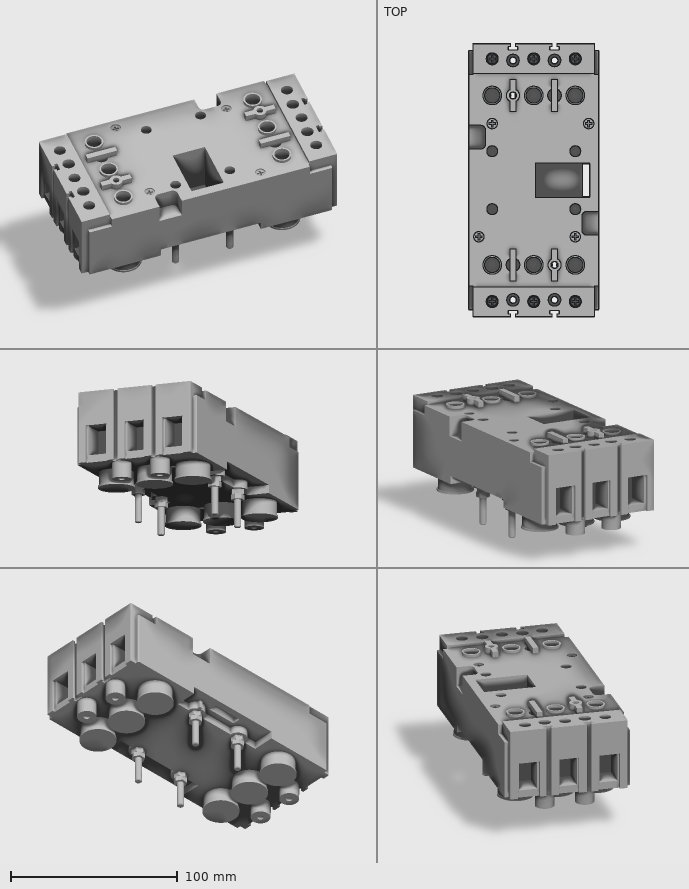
import cadquery as cq


LENGTH = 164.0
BODY_WIDTH = 78.0
BODY_LENGTH = 155.8
BODY_HEIGHT = 41.7
BODY_CORNER = 0.7
SHOULDER_Y = 63.5
SHOULDER_Z = 35.6

END_WIDTH = 73.1
END_HEIGHT = 43.6
END_START_Y = 64.0
END_CORNER = 0.5

POLE_PITCH = 25.0
POLES = (-POLE_PITCH, 0.0, POLE_PITCH)
SIDE_POLES = (-POLE_PITCH, POLE_PITCH)
PARTITIONS = (-POLE_PITCH / 2, POLE_PITCH / 2)

SLOT_NECK_WIDTH = 3.0
SLOT_HEAD_WIDTH = 5.5
SLOT_HEAD_START = 1.8
SLOT_DEPTH = 3.8

WINDOW_TOP = 22.6
SILL_HEIGHT = 4.6
SILL_SETBACK = 1.8
CAVITY_DEPTH = 16.4
SIDE_WINDOW_WIDTH = 13.5
SIDE_CAVITY_WIDTH = 11.2
MIDDLE_WINDOW_WIDTH = 12.6
MIDDLE_CAVITY_WIDTH = 10.7

TERMINAL_Y = 72.8
TERMINAL_HOLE_RADIUS = 3.6
TERMINAL_HOLE_DEPTH = 13.1
TERMINAL_SCREW_RADIUS = 3.0
TERMINAL_SCREW_HEIGHT = 3.3

CROSS_SPAN = 4.0
CROSS_WIDTH = 1.1
CROSS_DEPTH = 1.0

FIXING_Y = 71.8
FIXING_RADIUS = 2.0
FIXING_COUNTERBORE_RADIUS = 3.8
FIXING_COUNTERBORE_DEPTH = 13.1
FOOT_RADIUS = 5.9
FOOT_HEIGHT = 10.0

CONTACT_Y = 50.8
SOCKET_RADIUS = 5.5
SOCKET_BORE_RADIUS = 4.6
SOCKET_BORE_DEPTH = 13.1
PLUG_RADIUS = 10.5
PLUG_HEIGHT = 9.7
PLUG_RIM_RADIUS = 11.2
PLUG_RIM_THICKNESS = 1.1

BAR_TOP = 45.8
BAR_WIDTH = 3.5
BAR_LENGTH = 19.0
BAR_BOSS_RADIUS = 4.0
BAR_HOLE_RADIUS = 2.0
BAR_WELL_RADIUS = 4.1
BAR_WELL_DEPTH = 13.1

COVER_SCREW_Y = 34.0
COVER_SCREW_OUTER_X = 33.0
COVER_SCREW_RADIUS = 3.1
COVER_SCREW_SINK = 0.8

POST_Y = 17.4
POST_POINTS = [(x, y) for x in SIDE_POLES for y in (-POST_Y, POST_Y)]
POST_HOLE_RADIUS = 3.3
POST_HOLE_DEPTH = 13.1
POST_RADIUS = 2.1
POST_TIP_Z = -23.3
POST_CHAMFER = 0.5
POST_BOSS_RADIUS = 5.9
NUT_THICKNESS = 3.1
UPPER_NUT_ANGLE = 30
LOWER_NUT_ANGLE = 0
NUT_CORNER_DIAMETER = 8.2

RECESS_LENGTH = 64.0
RECESS_HEIGHT = 5.1
RECESS_RIB_X = 32.0
RECESS_RIB_Y_MIN = 18.5
RECESS_RIB_Y_MAX = 20.5

NOTCH_DEPTH = 10.2
NOTCH_Y_MIN = 18.7
NOTCH_Y_MAX = 33.0
NOTCH_FLOOR = 29.5
NOTCH_RADIUS = 3.1

POCKET_X_MIN = 1.1
POCKET_X_MAX = 33.5
POCKET_WIDTH = 20.7
POCKET_FLOOR = 9.8
PASSAGE_X_MIN = 29.4
PASSAGE_X_MAX = 34.6
PASSAGE_TOP = 28.5
PASSAGE_WIDTH = 19.7


def box(x_min, x_max, y_min, y_max, z_min, z_max):
    """Box between two opposite corners."""
    size = (x_max - x_min, y_max - y_min, z_max - z_min)
    return cq.Workplane("XY").box(*size, centered=False).translate((x_min, y_min, z_min))


def blocks(points, width, length, z_min, z_max):
    """Equal boxes centred on the given points."""
    plane = cq.Workplane("XY", origin=(0, 0, z_min))
    return plane.pushPoints(points).rect(width, length).extrude(z_max - z_min)


def block(width, length, z_min, z_max):
    """Box centred on the Z axis."""
    return blocks([(0, 0)], width, length, z_min, z_max)


def rods(points, radius, z_min, z_max):
    """Equal upright cylinders centred on the given points."""
    plane = cq.Workplane("XY", origin=(0, 0, z_min))
    return plane.pushPoints(points).circle(radius).extrude(z_max - z_min)


def hexagons(points, angle, z_min, z_max):
    """Equal nuts centred on the given points and turned by an angle in degrees."""
    plane = cq.Workplane("XY", origin=(0, 0, z_min)).pushPoints(points)
    outline = cq.Sketch().regularPolygon(NUT_CORNER_DIAMETER / 2, 6, angle=angle)
    return plane.placeSketch(outline).extrude(z_max - z_min)


def at_both_ends(x_places, y):
    """Points at every given X, at +y and at -y."""
    return [(x, end * y) for end in (-1, 1) for x in x_places]


def end_blocks(x_places, width, inset_min, inset_max, z_min, z_max):
    """Boxes measured inwards from both end faces."""
    points = at_both_ends(x_places, LENGTH / 2 - (inset_min + inset_max) / 2)
    return blocks(points, width, inset_max - inset_min, z_min, z_max)


def cut_crosses(part, points, head_top):
    """Cross recesses in screw heads."""
    floor = head_top - CROSS_DEPTH
    part = part.cut(blocks(points, CROSS_SPAN, CROSS_WIDTH, floor, head_top))
    return part.cut(blocks(points, CROSS_WIDTH, CROSS_SPAN, floor, head_top))


def half_turn(shape):
    """Copy turned by 180 degrees about Z."""
    return shape.rotate((0, 0, 0), (0, 0, 1), 180)


def make_housing():
    """Wide body with lowered end shoulders and two terminal blocks."""
    body = block(BODY_WIDTH, BODY_LENGTH, 0, SHOULDER_Z).edges("|Z").fillet(BODY_CORNER)
    body = body.union(block(BODY_WIDTH, 2 * SHOULDER_Y, 0, BODY_HEIGHT))
    ends = block(END_WIDTH, LENGTH, 0, END_HEIGHT).edges("|Z").fillet(END_CORNER)
    ends = ends.cut(block(END_WIDTH, 2 * END_START_Y, BODY_HEIGHT, END_HEIGHT))
    return body.union(ends)


def cut_side_recesses(part):
    """Recesses in the lower side edges, a half turn apart, with half-round bosses and a small rib."""
    half = RECESS_LENGTH / 2
    recess = box(-BODY_WIDTH / 2, -POLE_PITCH, -half, half, 0, RECESS_HEIGHT)
    recess = recess.cut(rods(POST_POINTS, POST_BOSS_RADIUS, 0, RECESS_HEIGHT))
    rib = box(-RECESS_RIB_X, -POLE_PITCH, RECESS_RIB_Y_MIN, RECESS_RIB_Y_MAX, 0, RECESS_HEIGHT)
    recess = recess.cut(rib)
    return part.cut(recess).cut(half_turn(recess))


def cut_t_slots(part):
    neck = end_blocks(PARTITIONS, SLOT_NECK_WIDTH, 0, SLOT_DEPTH, 0, END_HEIGHT)
    head = end_blocks(PARTITIONS, SLOT_HEAD_WIDTH, SLOT_HEAD_START, SLOT_DEPTH, 0, END_HEIGHT)
    return part.cut(neck).cut(head)


def cut_windows(part, x_places, window_width, cavity_width):
    """Cable windows, each with a set-back sill and a deeper cavity above it."""
    part = part.cut(end_blocks(x_places, window_width, 0, SILL_SETBACK, 0, WINDOW_TOP))
    return part.cut(end_blocks(x_places, cavity_width, 0, CAVITY_DEPTH, SILL_HEIGHT, WINDOW_TOP))


def add_terminal_screws(part):
    """Screws sunk in round holes in the terminal blocks."""
    points = at_both_ends(POLES, TERMINAL_Y)
    hole_floor = END_HEIGHT - TERMINAL_HOLE_DEPTH
    head_top = hole_floor + TERMINAL_SCREW_HEIGHT
    part = part.cut(rods(points, TERMINAL_HOLE_RADIUS, hole_floor, END_HEIGHT))
    part = part.union(rods(points, TERMINAL_SCREW_RADIUS, hole_floor, head_top))
    return cut_crosses(part, points, head_top)


def add_fixings(part):
    """Round feet with counterbored through holes."""
    points = at_both_ends(PARTITIONS, FIXING_Y)
    counterbore_floor = END_HEIGHT - FIXING_COUNTERBORE_DEPTH
    part = part.union(rods(points, FOOT_RADIUS, -FOOT_HEIGHT, 0))
    part = part.cut(rods(points, FIXING_RADIUS, -FOOT_HEIGHT, END_HEIGHT))
    return part.cut(rods(points, FIXING_COUNTERBORE_RADIUS, counterbore_floor, END_HEIGHT))


def add_contacts(part):
    """Sockets level with the terminal blocks and flanged plugs below."""
    points = at_both_ends(POLES, CONTACT_Y)
    part = part.union(rods(points, SOCKET_RADIUS, BODY_HEIGHT, END_HEIGHT))
    part = part.cut(rods(points, SOCKET_BORE_RADIUS, END_HEIGHT - SOCKET_BORE_DEPTH, END_HEIGHT))
    part = part.union(rods(points, PLUG_RADIUS, -PLUG_HEIGHT, 0))
    return part.union(rods(points, PLUG_RIM_RADIUS, -PLUG_HEIGHT, PLUG_RIM_THICKNESS - PLUG_HEIGHT))


def add_bars(part):
    """Two opposite bars carry a drilled boss, the other two stand across a round well."""
    half_pitch = POLE_PITCH / 2
    drilled = [(-half_pitch, CONTACT_Y), (half_pitch, -CONTACT_Y)]
    part = part.union(blocks(drilled, BAR_WIDTH, BAR_LENGTH, BODY_HEIGHT, BAR_TOP))
    part = part.union(rods(drilled, BAR_BOSS_RADIUS, BODY_HEIGHT, BAR_TOP))
    part = part.cut(rods(drilled, BAR_HOLE_RADIUS, 0, BAR_TOP))

    plain = [(half_pitch, CONTACT_Y), (-half_pitch, -CONTACT_Y)]
    well_floor = BODY_HEIGHT - BAR_WELL_DEPTH
    part = part.cut(rods(plain, BAR_WELL_RADIUS, well_floor, BODY_HEIGHT))
    return part.union(blocks(plain, BAR_WIDTH, BAR_LENGTH, well_floor, BAR_TOP))


def add_cover_screws(part):
    """Screw heads just below the top face."""
    rear = [(-POLE_PITCH, COVER_SCREW_Y), (COVER_SCREW_OUTER_X, COVER_SCREW_Y)]
    points = rear + [(-x, -y) for x, y in rear]
    head_top = BODY_HEIGHT - COVER_SCREW_SINK
    part = part.cut(rods(points, COVER_SCREW_RADIUS, head_top, BODY_HEIGHT))
    return cut_crosses(part, points, head_top)


def add_posts(part):
    """Posts with two nuts turned against each other below, and blind holes above them."""
    part = part.cut(rods(POST_POINTS, POST_HOLE_RADIUS, BODY_HEIGHT - POST_HOLE_DEPTH, BODY_HEIGHT))
    part = part.union(hexagons(POST_POINTS, UPPER_NUT_ANGLE, -NUT_THICKNESS, 0))
    part = part.union(hexagons(POST_POINTS, LOWER_NUT_ANGLE, -2 * NUT_THICKNESS, -NUT_THICKNESS))
    posts = rods(POST_POINTS, POST_RADIUS, POST_TIP_Z, 0).faces("<Z").chamfer(POST_CHAMFER)
    return part.union(posts)


def cut_notches(part):
    """Rounded notches in the -X and +X sides, a half turn apart."""
    inner_x = NOTCH_DEPTH - BODY_WIDTH / 2
    notch = box(-BODY_WIDTH / 2, inner_x, NOTCH_Y_MIN, NOTCH_Y_MAX, NOTCH_FLOOR, BODY_HEIGHT)
    notch = notch.edges("|Z and >X").fillet(NOTCH_RADIUS)
    return part.cut(notch).cut(half_turn(notch))


def cut_pocket(part):
    """Deep pocket leading down into a through passage at its +X end."""
    half = POCKET_WIDTH / 2
    part = part.cut(box(POCKET_X_MIN, POCKET_X_MAX, -half, half, PASSAGE_TOP, BODY_HEIGHT))
    part = part.cut(box(POCKET_X_MIN, PASSAGE_X_MIN, -half, half, POCKET_FLOOR, PASSAGE_TOP))
    half = PASSAGE_WIDTH / 2
    return part.cut(box(PASSAGE_X_MIN, PASSAGE_X_MAX, -half, half, 0, PASSAGE_TOP))


part = make_housing()
part = cut_side_recesses(part)
part = cut_windows(part, SIDE_POLES, SIDE_WINDOW_WIDTH, SIDE_CAVITY_WIDTH)
part = cut_windows(part, (0.0,), MIDDLE_WINDOW_WIDTH, MIDDLE_CAVITY_WIDTH)
part = add_terminal_screws(part)
part = add_contacts(part)
part = add_bars(part)
part = add_fixings(part)
part = cut_t_slots(part)
part = add_cover_screws(part)
part = add_posts(part)
part = cut_notches(part)
result = cut_pocket(part)